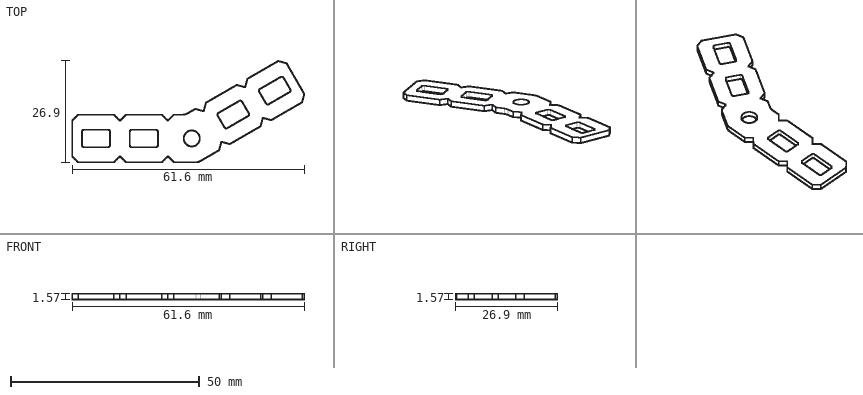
import cadquery as cq
import math

PITCH = 12.7
THICKNESS = 1.57
BEND_ANGLE = 30.0
CELLS_PER_ARM = 2
CORNER_CUT = 1.6256
WINDOW_LENGTH = 7.4
WINDOW_WIDTH = 4.6
WINDOW_RADIUS = 0.5
PIVOT_DIAMETER = 4.2
BEND_RADIUS = 2.3

HALF_PITCH = PITCH / 2
BEND_CORNER_X = HALF_PITCH * math.tan(math.radians(BEND_ANGLE / 2))


def cell(center_x):
    """Square cell with its four corners cut, centred on the X axis."""
    return (
        cq.Workplane("XY")
        .center(center_x, 0)
        .rect(PITCH, PITCH)
        .extrude(THICKNESS)
        .edges("|Z")
        .chamfer(CORNER_CUT)
    )


def window(center_x):
    """Rounded rectangular opening, longer along the arm."""
    return (
        cq.Workplane("XY")
        .center(center_x, 0)
        .rect(WINDOW_LENGTH, WINDOW_WIDTH)
        .extrude(THICKNESS)
        .edges("|Z")
        .fillet(WINDOW_RADIUS)
    )


def pivot_half():
    """Half of the pivot cell: cut corners at +X, square end at the pivot."""
    return (
        cq.Workplane("XY")
        .center(HALF_PITCH / 2, 0)
        .rect(HALF_PITCH, PITCH)
        .extrude(THICKNESS)
        .edges("|Z and >X")
        .chamfer(CORNER_CUT)
    )


def arm(direction):
    """Row of windowed cells leaving the pivot at the given angle."""
    body = pivot_half()
    for index in range(1, CELLS_PER_ARM + 1):
        center_x = index * PITCH
        body = body.union(cell(center_x)).cut(window(center_x))
    return body.rotate((0, 0, 0), (0, 0, 1), direction)


def bend_wedge():
    """Fill between the square arm ends on the outer side of the bend."""
    turn = math.radians(BEND_ANGLE)
    return (
        cq.Workplane("XY")
        .moveTo(0, 0)
        .lineTo(0, -HALF_PITCH)
        .lineTo(BEND_CORNER_X, -HALF_PITCH)
        .lineTo(HALF_PITCH * math.sin(turn), -HALF_PITCH * math.cos(turn))
        .close()
        .extrude(THICKNESS)
    )


def round_bend(plate):
    """Round the two corners where the edges of the arms meet."""
    outer_corner = cq.NearestToPointSelector((BEND_CORNER_X, -HALF_PITCH, THICKNESS / 2))
    inner_corner = cq.NearestToPointSelector((-BEND_CORNER_X, HALF_PITCH, THICKNESS / 2))
    rounded = plate.edges("|Z").edges(outer_corner).fillet(BEND_RADIUS)
    return rounded.edges("|Z").edges(inner_corner).fillet(BEND_RADIUS)


plate = arm(180).union(arm(BEND_ANGLE)).union(bend_wedge()).clean()
pivot_hole = cq.Workplane("XY").circle(PIVOT_DIAMETER / 2).extrude(THICKNESS)
result = round_bend(plate).cut(pivot_hole)